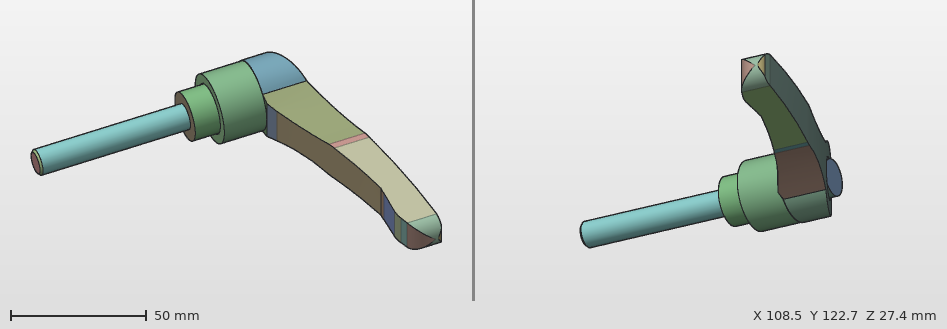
import cadquery as cq


hub_diameter = 27.0
hub_length = 17.0
collar_diameter = 19.0
collar_end = 27.0
stud_diameter = 10.0
stud_end = 87.1
stud_chamfer = 0.9
insert_diameter = 14.2
insert_top = 16.0
collar_bore_diameter = 19.6

head_radius = 13.7
insert_bore_diameter = 16.0
insert_bore_floor = insert_top / 2
lever_top = 35.6
grip_underside = 21.7
heel_x = -hub_diameter / 2
heel_height = 4.5
lever_reach = 95.0
tip_start = 88.8
tip_half_width = 6.4

root_x = 9.7
root_half_width = (head_radius**2 - root_x**2) ** 0.5
waist_x = 27.0
waist_half_width = 6.9
grip_start = 41.5
grip_middle = 42.8
grip_end = 44.0
grip_half_width = 8.0
grip_bulge = 0.06


def turned(diameter, start, end):
    """Cylinder around the Y axis from Y = start to Y = end."""
    plane = cq.Workplane("XZ", origin=(0, end, 0))
    return plane.circle(diameter / 2).extrude(end - start)


def lever_side():
    """Curved side shape of the lever, extruded through its full width."""
    profile = (
        cq.Workplane("XY", origin=(0, 0, -head_radius))
        .moveTo(heel_x, 0)
        .lineTo(heel_x, heel_height)
        .threePointArc((-12.5, 8.0), (-9.9, 9.9))
        .threePointArc((35.2, 25.8), (tip_start, lever_top))
        .lineTo(93.1, lever_top)
        .threePointArc((94.6, 34.5), (lever_reach, 32.5))
        .threePointArc((93.1, 26.9), (tip_start, 23.7))
        .lineTo(85.7, 22.6)
        .threePointArc((83.8, 22.0), (81.7, grip_underside))
        .lineTo(71.8, grip_underside)
        .threePointArc((70.5, 21.6), (69.3, grip_underside))
        .threePointArc((43.4, 13.6), (18.0, 2.1))
        .lineTo(head_radius, 0)
        .close()
    )
    return profile.extrude(2 * head_radius)


def lever_plan():
    """Waisted plan shape of the lever with its round head and tip."""
    outline = (
        cq.Workplane("XZ")
        .moveTo(root_x, root_half_width)
        .threePointArc((waist_x, waist_half_width), (grip_start, grip_half_width))
        .threePointArc((grip_middle, grip_half_width + grip_bulge), (grip_end, grip_half_width))
        .lineTo(tip_start, tip_half_width)
        .threePointArc((lever_reach, 0), (tip_start, -tip_half_width))
        .lineTo(grip_end, -grip_half_width)
        .threePointArc((grip_middle, -grip_half_width - grip_bulge), (grip_start, -grip_half_width))
        .threePointArc((waist_x, -waist_half_width), (root_x, -root_half_width))
        .threePointArc((-head_radius, 0), (root_x, root_half_width))
        .close()
    )
    return outline.extrude(-lever_top)


lever = lever_side().intersect(lever_plan())
lever = lever.cut(turned(insert_bore_diameter, insert_bore_floor, lever_top))

hub = turned(hub_diameter, -hub_length, 0)
hub = hub.cut(turned(collar_bore_diameter, -hub_length, 0))

stud = turned(stud_diameter, -stud_end, -collar_end).faces("<Y").chamfer(stud_chamfer)
collar = turned(collar_diameter, -collar_end, 0)
insert = turned(insert_diameter, 0, insert_top)

result = lever.union(hub).union(collar).union(stud).union(insert)